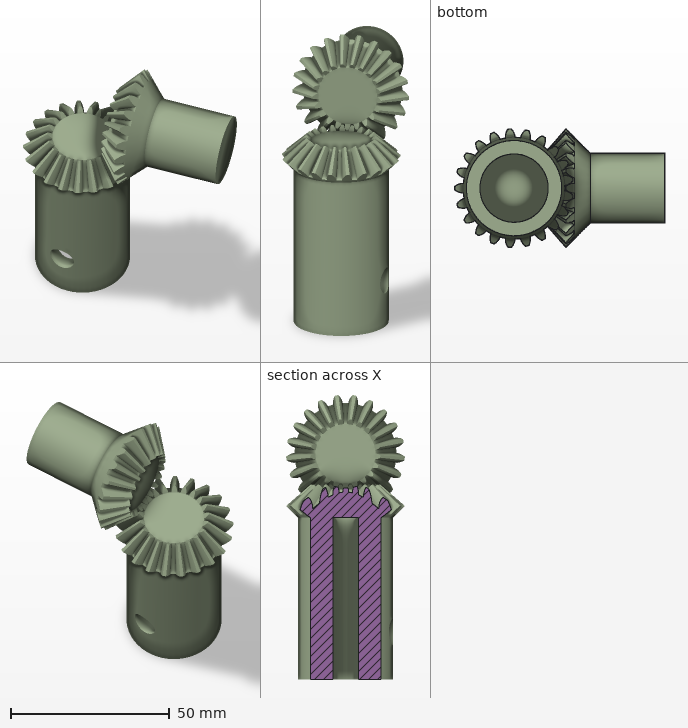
import cadquery as cq
import math

TEETH = 21
PITCH_RADIUS = 35.0 / 2
PRESSURE_ANGLE = math.radians(20)
FACE_WIDTH = 10.2
TOOTH_THINNING = 0.1
APEX_HEIGHT = 71.0

MODULE = 2 * PITCH_RADIUS / TEETH
ADDENDUM = MODULE
DEDENDUM = 1.25 * MODULE
HALF_PITCH_ANGLE = 180 / TEETH

SLEEVE_RADIUS = 30.0 / 2
BORE_RADIUS = 21.5 / 2
CROSS_HOLE_RADIUS = 8.2 / 2
CROSS_HOLE_HEIGHT = 15.0

SHAFT_RADIUS = 22.0 / 2
SHAFT_END = 47.5

DIAGONAL = math.sqrt(0.5)
CONE_DISTANCE = PITCH_RADIUS / DIAGONAL
BASE_RADIUS = CONE_DISTANCE * math.cos(PRESSURE_ANGLE)
INNER_SCALE = 1 - FACE_WIDTH / CONE_DISTANCE
BACK_CONE_DEPTH = 2 * PITCH_RADIUS

FIRST_TOOTH_ANGLE = 180
OVERSHOOT = 1.1


def cone_point(height, scale=1):
    """(r, z) of a point at this height above the pitch cone; scale 1 is the back cone."""
    radius = PITCH_RADIUS + height * DIAGONAL
    return scale * radius, scale * (radius - BACK_CONE_DEPTH)


def revolved(points):
    return cq.Workplane("XZ").polyline(points).close().revolve(360, (0, 0), (0, 1))


def gear_core(stem_radius, stem_end):
    """Root cone, back cone and cylindrical stem, with the apex at the origin and the stem below."""
    inner_root = cone_point(-DEDENDUM, INNER_SCALE)
    outer_root = cone_point(-DEDENDUM)
    return revolved([
        (0, inner_root[1]),
        inner_root,
        outer_root,
        (stem_radius, stem_radius - BACK_CONE_DEPTH),
        (stem_radius, -stem_end),
        (0, -stem_end),
    ])


def tooth_ring():
    """Ring between the root and tip cones that trims the teeth."""
    return revolved([
        cone_point(-DEDENDUM, INNER_SCALE),
        cone_point(ADDENDUM, INNER_SCALE),
        cone_point(ADDENDUM),
        cone_point(-DEDENDUM),
    ])


def flank_point(radius):
    """Point on one involute flank: distance from the tooth's centre line, height above the pitch cone."""
    local_angle = math.acos(min(1, BASE_RADIUS / radius))
    pitch_involute = math.tan(PRESSURE_ANGLE) - PRESSURE_ANGLE
    local_involute = math.tan(local_angle) - local_angle
    half_thickness = math.pi * MODULE / 4 - TOOTH_THINNING / 2
    half_angle = half_thickness / CONE_DISTANCE + pitch_involute - local_involute
    return radius * math.sin(half_angle), radius * math.cos(half_angle) - CONE_DISTANCE


def tooth_section(scale):
    """Closed tooth outline across the pitch cone, shrunk towards the apex by the scale."""
    tip_radius = CONE_DISTANCE + OVERSHOOT * ADDENDUM
    flank_radii = (BASE_RADIUS, (BASE_RADIUS + tip_radius) / 2, tip_radius)
    base, middle, tip = [(scale * x, scale * y) for x, y in map(flank_point, flank_radii)]
    bottom = -scale * DEDENDUM * OVERSHOOT
    plane = cq.Plane(
        origin=(scale * PITCH_RADIUS, 0, -scale * PITCH_RADIUS),
        xDir=(0, 1, 0),
        normal=(1, 0, -1),
    )
    outline = (
        cq.Workplane(plane)
        .moveTo(base[0], bottom)
        .lineTo(*base)
        .threePointArc(middle, tip)
        .lineTo(-tip[0], tip[1])
        .threePointArc((-middle[0], middle[1]), (-base[0], base[1]))
        .lineTo(-base[0], bottom)
        .close()
    )
    return outline.val()


def add_teeth(core):
    """One solid of the core and its ring of straight teeth converging on the apex."""
    sections = [tooth_section(INNER_SCALE / OVERSHOOT), tooth_section(OVERSHOOT)]
    blank = cq.Workplane(cq.Solid.makeLoft(sections, True))
    tooth = blank.intersect(tooth_ring()).val()
    teeth = [
        tooth.rotate((0, 0, 0), (0, 0, 1), FIRST_TOOTH_ANGLE + 2 * HALF_PITCH_ANGLE * index)
        for index in range(TEETH)
    ]
    return cq.Workplane(core.val().fuse(*teeth)).solids()


def sleeve_bore():
    """Blind bore from the open end, as deep as the cylindrical sleeve is long."""
    sleeve_length = APEX_HEIGHT - BACK_CONE_DEPTH + SLEEVE_RADIUS
    return cq.Workplane("XY", origin=(0, 0, -APEX_HEIGHT)).circle(BORE_RADIUS).extrude(sleeve_length)


def cross_hole():
    """Hole through both sleeve walls, turned half a tooth pitch off the Y axis."""
    return (
        cq.Workplane("XZ", origin=(0, 0, CROSS_HOLE_HEIGHT - APEX_HEIGHT))
        .circle(CROSS_HOLE_RADIUS)
        .extrude(SLEEVE_RADIUS * OVERSHOOT, both=True)
        .rotate((0, 0, 0), (0, 0, 1), -HALF_PITCH_ANGLE)
    )


def make_sleeve_gear():
    core = gear_core(SLEEVE_RADIUS, APEX_HEIGHT).cut(sleeve_bore()).cut(cross_hole())
    return add_teeth(core).translate((0, 0, APEX_HEIGHT))


def make_shaft_gear():
    gear = add_teeth(gear_core(SHAFT_RADIUS, SHAFT_END))
    return gear.rotate((0, 0, 0), (0, 1, 0), -90).translate((0, 0, APEX_HEIGHT))


sleeve_gear = make_sleeve_gear()
shaft_gear = make_shaft_gear()

result = cq.Compound.makeCompound([sleeve_gear.val(), shaft_gear.val()])